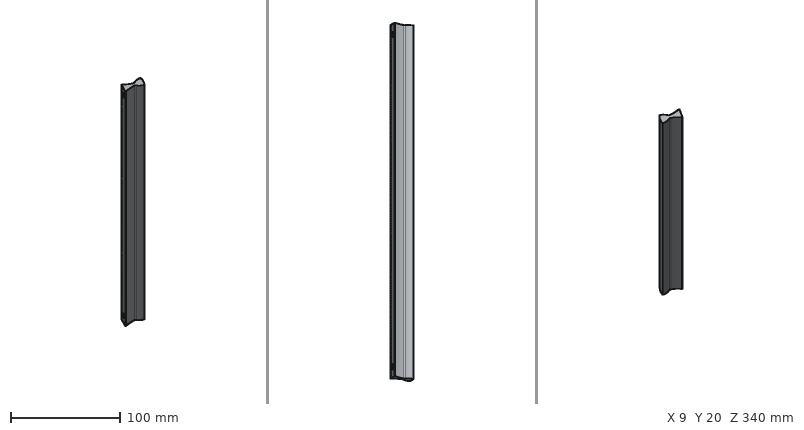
import cadquery as cq
import math

LENGTH = 340.0
WIDTH = 9.0
DEPTH = 20.0

CROWN_RISE = 0.7
FRONT_LAND = 0.7
BACK_LAND = 0.7
NECK_FRONT = (1.53, 0.5)
NECK_BACK = (1.97, 2.0)
FRONT_HOLLOW = 0.5

HOLE_DIAMETER = 3.5
COUNTERSINK_DIAMETER = 5.0
HOLE_DEPTH = 4.0
TIP_ANGLE = 118
HOLE_END_DISTANCE = 10.2

half_width = WIDTH / 2
front_y = -DEPTH / 2
back_y = DEPTH / 2
shoulder_y = back_y - CROWN_RISE
back_land_y = shoulder_y - BACK_LAND
front_land_y = front_y + FRONT_LAND
crown_radius = (half_width**2 + CROWN_RISE**2) / (2 * CROWN_RISE)


def bowed_point(start, end, bow):
    """Return the chord midpoint moved by bow to the left of travel from start to end."""
    chord = cq.Vector(*end) - cq.Vector(*start)
    middle = (cq.Vector(*start) + cq.Vector(*end)) * 0.5
    offset = cq.Vector(-chord.y, chord.x).normalized() * bow
    return (middle + offset).toTuple()[:2]


def make_bar():
    """Extrude the right half of the waisted section and mirror it."""
    front_flank = (half_width, front_land_y)
    half = (
        cq.Workplane("XY", origin=(0, 0, -LENGTH / 2))
        .moveTo(0, front_y)
        .lineTo(half_width, front_y)
        .lineTo(*front_flank)
        .threePointArc(bowed_point(front_flank, NECK_FRONT, FRONT_HOLLOW), NECK_FRONT)
        .tangentArcPoint(NECK_BACK, relative=False)
        .tangentArcPoint((half_width, back_land_y), relative=False)
        .lineTo(half_width, shoulder_y)
        .radiusArc((0, back_y), -crown_radius)
        .close()
        .extrude(LENGTH)
    )
    return half.union(half.mirror("YZ"))


def make_screw_holes():
    """Create one countersunk, drill-tipped cutter near each end, inward from the front face."""
    radius = HOLE_DIAMETER / 2
    mouth_radius = COUNTERSINK_DIAMETER / 2
    countersink_y = front_y + mouth_radius - radius
    tip_length = radius / math.tan(math.radians(TIP_ANGLE / 2))
    tip_y = front_y + HOLE_DEPTH
    drill = (
        cq.Workplane("XY")
        .moveTo(0, front_y)
        .lineTo(mouth_radius, front_y)
        .lineTo(radius, countersink_y)
        .lineTo(radius, tip_y)
        .lineTo(0, tip_y + tip_length)
        .close()
        .revolve(360, (0, 0), (0, 1))
    )
    hole_z = LENGTH / 2 - HOLE_END_DISTANCE
    return drill.translate((0, 0, -hole_z)).union(drill.translate((0, 0, hole_z)))


result = make_bar().cut(make_screw_holes())